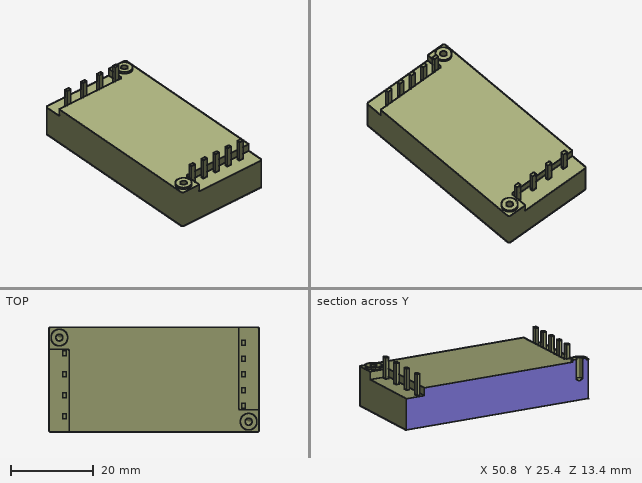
import cadquery as cq
import math

body_length = 50.8
body_width = 25.4
body_height = 10.0
corner_radius = 0.5

ledge_length = 5.0
ledge_width = 20.0
ledge_depth = 2.0
ledge_corner_radius = 0.5
ledge_height = body_height - ledge_depth

overall_height = 13.4
pin_thickness = 0.8
pin_width = 1.2
pin_end_inset = 3.8
first_pin_offset = 6.35
left_pin_count = 4
left_pin_pitch = 5.1
right_pin_count = 5
right_pin_pitch = 3.8

pad_diameter = 4.0
pad_height = 0.5
pad_inset = 2.55
hole_diameter = 1.7
hole_depth = 5.1
drill_point_angle = 118.0

half_length = body_length / 2
half_width = body_width / 2
pad_top = body_height + pad_height


def half_turn(solid):
    """Turn a solid 180 degrees about the Z axis, onto the opposite end of the body."""
    return solid.rotate((0, 0, 0), (0, 0, 1), 180)


def make_body():
    return (
        cq.Workplane("XY")
        .box(body_length, body_width, body_height, centered=(True, True, False))
        .edges("|Z")
        .fillet(corner_radius)
    )


def make_ledge_cut():
    """Block removed above the -X ledge, with its inner corner rounded."""
    return (
        cq.Workplane("XY", origin=(-half_length, -half_width, ledge_height))
        .box(ledge_length, ledge_width, ledge_depth, centered=False)
        .edges("|Z and >X and >Y")
        .fillet(ledge_corner_radius)
    )


def make_pad():
    """Raised round pad at the -X, +Y corner."""
    return (
        cq.Workplane("XY", origin=(pad_inset - half_length, half_width - pad_inset, body_height))
        .circle(pad_diameter / 2)
        .extrude(pad_height)
    )


def make_hole():
    """Drilled hole with a conical end, centred on the -X, +Y pad."""
    radius = hole_diameter / 2
    point_depth = radius / math.tan(math.radians(drill_point_angle / 2))
    return (
        cq.Workplane("XZ")
        .moveTo(0, 0)
        .lineTo(radius, 0)
        .lineTo(radius, -hole_depth)
        .lineTo(0, -hole_depth - point_depth)
        .close()
        .revolve(360, (0, 0), (0, 1))
        .translate((pad_inset - half_length, half_width - pad_inset, pad_top))
    )


def make_pin_row(count, pitch):
    """Row of pins on the -X ledge, running toward -Y from the pin beside the pad."""
    positions = [
        (pin_end_inset - half_length, first_pin_offset - index * pitch)
        for index in range(count)
    ]
    return (
        cq.Workplane("XY", origin=(0, 0, ledge_height))
        .pushPoints(positions)
        .rect(pin_thickness, pin_width)
        .extrude(overall_height - ledge_height)
    )


left_pins = make_pin_row(left_pin_count, left_pin_pitch)
right_pins = half_turn(make_pin_row(right_pin_count, right_pin_pitch))

result = (
    make_body()
    .cut(make_ledge_cut())
    .cut(half_turn(make_ledge_cut()))
    .union(make_pad())
    .union(half_turn(make_pad()))
    .cut(make_hole())
    .cut(half_turn(make_hole()))
    .union(left_pins)
    .union(right_pins)
)